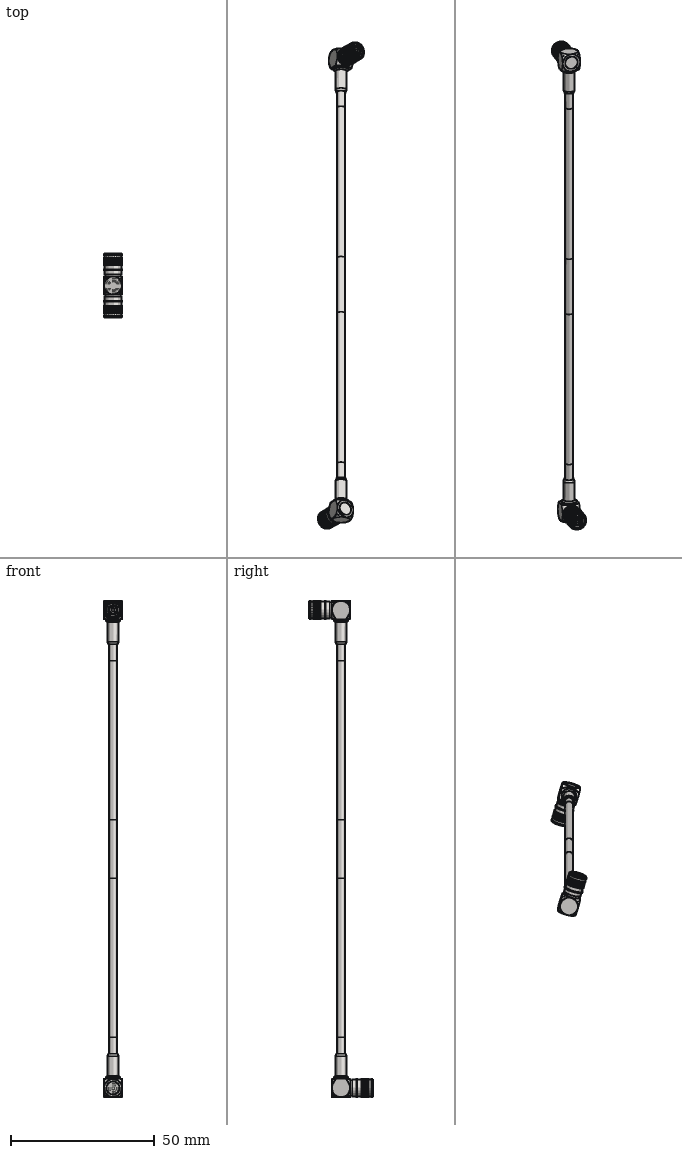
import cadquery as cq


assembly_length = 173.0
plug_reach = 22.3 / 2

cable_radius = 1.42
middle_length = 20.5
tail_end = 65.5
cable_length = tail_end - middle_length / 2

body_size = 6.4
body_half = body_size / 2
end_disc_radius = 3.1
end_cone_depth = 1.5
cap_radius = 2.2
cap_recess = 0.2

collar_radius = 2.6
collar_height = 1.0
collar_chamfer = 0.5
ferrule_radius = 4.0 / 2
ferrule_end = 71.3
ferrule_chamfer = 0.3
ferrule_chamfer_height = 0.9

neck_radius = 2.8
barrel_radius = 6.0 / 2
flange_radius = 3.3
grip_radius = 6.4 / 2
barrel_start = 4.0
flange_start = 5.4
flange_width = 0.3
grip_start = 7.1
ridge_count = 3
ridge_width = 0.5
rim_start = 10.5
rim_chamfer = 0.3

socket_radius = 2.5
socket_depth = 3.5
contact_sleeve_radius = 1.7
contact_bore_radius = 1.2
contact_pin_radius = 0.5

plug_top = assembly_length / 2
nose_height = plug_top - flange_radius
body_top = nose_height + body_half
body_bottom = nose_height - body_half


def turned_z(outline):
    """Solid of revolution about Z from (radius, height) points, starting on the -Y side."""
    points = [(-radius, height) for radius, height in outline]
    return cq.Workplane("YZ").polyline(points).close().revolve(360, (0, 0), (0, 1))


def turned_nose(outline):
    """Solid of revolution about the nose axis from (radius, distance toward -Y) points."""
    points = [(-radius, -distance) for radius, distance in outline]
    solid = cq.Workplane("XY").polyline(points).close().revolve(360, (0, 0), (0, 1))
    return solid.translate((0, 0, nose_height))


def cable_piece(start, length):
    """Plain cylinder along Z, rising from the given height."""
    points = [(0, start), (-cable_radius, start), (-cable_radius, start + length), (0, start + length)]
    return cq.Workplane("XZ").polyline(points).close().revolve(360, (0, 0), (0, 1))


def plug_body():
    """Cube with conically turned ends and a shallow round recess in the rear face."""
    cube = cq.Workplane("XY").box(body_size, body_size, body_size).translate((0, 0, nose_height))
    wide_radius = end_disc_radius + end_cone_depth
    upright_envelope = turned_z([
        (0, body_bottom),
        (wide_radius, body_bottom),
        (wide_radius, body_top - end_cone_depth),
        (end_disc_radius, body_top),
        (0, body_top),
    ])
    nose_envelope = turned_nose([
        (0, -body_half),
        (end_disc_radius, -body_half),
        (wide_radius, -body_half + end_cone_depth),
        (wide_radius, body_half - end_cone_depth),
        (end_disc_radius, body_half),
        (0, body_half),
    ])
    recess = turned_nose([
        (0, -body_half),
        (cap_radius, -body_half),
        (cap_radius, -body_half + cap_recess),
        (0, -body_half + cap_recess),
    ])
    return cube.intersect(upright_envelope).intersect(nose_envelope).cut(recess)


def cable_entry():
    """Collar, crimp ferrule and tail, stepping down to the cable."""
    collar_bottom = body_bottom - collar_height
    return turned_z([
        (0, tail_end),
        (cable_radius, tail_end),
        (cable_radius, ferrule_end),
        (ferrule_radius - ferrule_chamfer, ferrule_end),
        (ferrule_radius, ferrule_end + ferrule_chamfer_height),
        (ferrule_radius, collar_bottom),
        (collar_radius, collar_bottom + collar_chamfer),
        (collar_radius, body_bottom),
        (0, body_bottom),
    ])


def nose():
    """Stepped barrel with a thin flange, grip ridges and a chamfered rim."""
    flange_end = flange_start + flange_width
    outline = [
        (0, body_half),
        (neck_radius, body_half),
        (neck_radius, barrel_start),
        (barrel_radius, barrel_start),
        (barrel_radius, flange_start),
        (flange_radius, flange_start),
        (flange_radius, flange_end),
        (barrel_radius, flange_end),
    ]
    for ridge in range(ridge_count):
        ridge_start = grip_start + 2 * ridge * ridge_width
        ridge_end = ridge_start + ridge_width
        outline += [
            (barrel_radius, ridge_start),
            (grip_radius, ridge_start),
            (grip_radius, ridge_end),
            (barrel_radius, ridge_end),
        ]
    outline += [
        (barrel_radius, rim_start),
        (grip_radius, rim_start),
        (grip_radius, plug_reach - rim_chamfer),
        (grip_radius - rim_chamfer, plug_reach),
        (0, plug_reach),
    ]
    return turned_nose(outline)


def socket_space(inner, outer):
    """Annular space sunk into the mating face between two radii."""
    socket_floor = plug_reach - socket_depth
    return turned_nose([
        (inner, socket_floor),
        (outer, socket_floor),
        (outer, plug_reach),
        (inner, plug_reach),
    ])


def plug(turn):
    """Right-angle plug as one solid, turned about X from the upper position."""
    solid = plug_body().union(cable_entry()).union(nose())
    solid = solid.cut(socket_space(contact_sleeve_radius, socket_radius))
    solid = solid.cut(socket_space(contact_pin_radius, contact_bore_radius))
    return solid.rotate((0, 0, 0), (1, 0, 0), turn)


plugs = [plug(turn) for turn in (0, 180)]
long_cables = [cable_piece(start, cable_length) for start in (-tail_end, middle_length / 2)]
middle_cable = cable_piece(-middle_length / 2, middle_length)

result = cq.Compound.makeCompound([
    *[each.val() for each in plugs],
    *[each.val() for each in long_cables],
    middle_cable.val(),
])